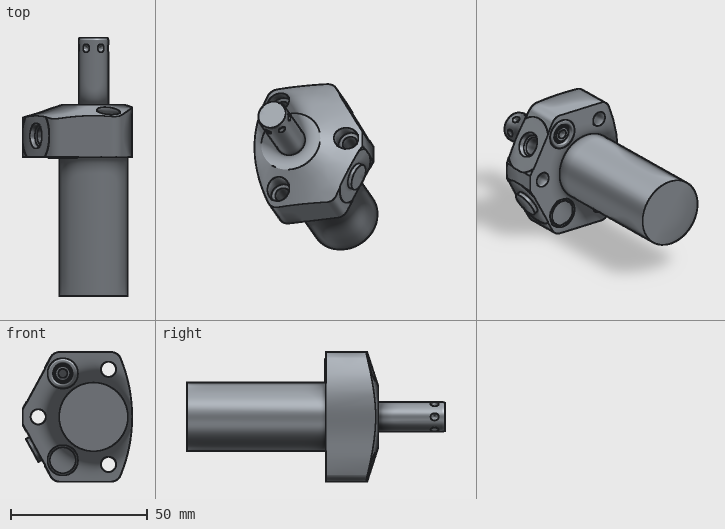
import cadquery as cq
import math

barrel_axis = cq.Vector(0, 1, 0)

barrel_diameter = 25.2
barrel_length = 50.9
rod_diameter = 11.0
rod_length = 24.5
rod_chamfer_length = 0.9
rod_chamfer_width = 0.3
dimple_count = 6
dimple_radius = 1.5
dimple_end_distance = 3.9

overall_length = 94.6
body_depth = overall_length - barrel_length - rod_length
body_height = 47.6
body_half_height = body_height / 2
body_left = -25.9
body_right = 14.2
left_flat_half_height = 3.0
side_angle = 61.5
right_corner_x = 8.9
corner_radius = 4.0
cone_flat_radius = 11.3
cone_angle = 18.0

mount_hole_diameter = 5.5
head_seat_diameter = 8.5
head_seat_y = 11.4
left_hole_x = -20.3
right_hole_x = 5.5
right_hole_z = 17.4
mount_hole_points = [(left_hole_x, 0), (right_hole_x, right_hole_z), (right_hole_x, -right_hole_z)]

port_height = 11.5
port_y = 7.8
spotface_radius = 10.4
spotface_depth = 0.2
spotface_clearance = 0.9
port_mouth_radius = 4.6
thread_start_radius = 4.0
thread_start_depth = 1.7
bore_radius = 3.3
bore_start_depth = 2.3
bore_depth = 11.8
plug_radius = 4.8
plug_height = 1.6

seat_x = -11.3
seat_z = 15.9
seat_radius = 5.6
seat_depth = 1.4
ring_tube_radius = 1.0
ring_radius = 4.6
ring_stand_out = 0.5
insert_radius = 3.1
insert_chamfer = 0.43
insert_hole_diameter = 3.3
insert_hole_depth = 4.7
cap_radius = 4.7


def cylinder(radius, start, end, x=0, z=0):
    """Cylinder parallel to Y between two Y values."""
    return cq.Workplane(cq.Solid.makeCylinder(radius, end - start, cq.Vector(x, start, z), barrel_axis))


def make_body():
    """Symmetrical flange outline with rounded corners and a beveled back."""
    rise = body_half_height - left_flat_half_height
    left_corner_x = body_left + rise / math.tan(math.radians(side_angle))
    outline = (
        cq.Workplane("XZ")
        .moveTo(body_left, -left_flat_half_height)
        .lineTo(body_left, left_flat_half_height)
        .lineTo(left_corner_x, body_half_height)
        .lineTo(right_corner_x, body_half_height)
        .threePointArc((body_right, 0), (right_corner_x, -body_half_height))
        .lineTo(left_corner_x, -body_half_height)
        .close()
    )
    block = outline.extrude(-body_depth)
    block = block.edges("|Y").edges(">Z or <Z").fillet(corner_radius)

    cone_base_radius = cone_flat_radius + body_depth / math.tan(math.radians(cone_angle))
    cone = cq.Solid.makeCone(cone_base_radius, cone_flat_radius, body_depth, cq.Vector(), barrel_axis)
    return block.intersect(cq.Workplane(cone))


def make_rod():
    """Rod with a chamfered end and a circle of conical dimples near it."""
    rod_end = body_depth + rod_length
    rod = cylinder(rod_diameter / 2, 0, rod_end)
    rod = rod.faces(">Y").chamfer(rod_chamfer_length, rod_chamfer_width)
    for index in range(dimple_count):
        angle = 2 * math.pi * index / dimple_count
        outward = cq.Vector(math.cos(angle), 0, math.sin(angle))
        mouth = outward * (rod_diameter / 2) + cq.Vector(0, rod_end - dimple_end_distance, 0)
        rod = rod.cut(cq.Workplane(cq.Solid.makeCone(dimple_radius, 0, dimple_radius, mouth, -outward)))
    return rod


def side_plane(side):
    """Outward-facing spotface plane with its origin on the port axis; side is +1 above, -1 below."""
    slope = math.radians(side_angle)
    center_x = body_left + (port_height - left_flat_half_height) / math.tan(slope)
    center_x += spotface_depth / math.sin(slope)
    normal = (-math.sin(slope), 0, side * math.cos(slope))
    return cq.Plane(origin=(center_x, port_y, side * port_height), xDir=(0, 1, 0), normal=normal)


def port_cutter(side):
    """Stepped round port: tapered mouth, short cone, then a flat-bottomed bore."""
    plane = side_plane(side)
    inward = -plane.zDir
    thread_start = plane.origin + inward * thread_start_depth
    cone_length = bore_start_depth - thread_start_depth
    mouth = cq.Solid.makeCone(port_mouth_radius, thread_start_radius, thread_start_depth, plane.origin, inward)
    cone = cq.Solid.makeCone(thread_start_radius, bore_radius, cone_length, thread_start, inward)
    bore = cq.Solid.makeCylinder(bore_radius, bore_depth, plane.origin, inward)
    return cq.Workplane(mouth).union(cq.Workplane(cone)).union(cq.Workplane(bore))


def spotface_cutter(side):
    """The flat spotface around a port, running a little way out of the body."""
    floor = cq.Workplane(side_plane(side))
    return floor.circle(spotface_radius).extrude(spotface_depth + spotface_clearance)


def make_plug(side):
    """Round plug standing on a spotface."""
    return cq.Workplane(side_plane(side)).circle(plug_radius).extrude(plug_height)


def make_ring():
    """O-ring sunk in the upper seat, standing out of the front face."""
    ring_y = ring_tube_radius - ring_stand_out
    center = cq.Vector(seat_x, ring_y, seat_z)
    return cq.Workplane(cq.Solid.makeTorus(ring_radius, ring_tube_radius, center, barrel_axis))


def make_insert():
    """Chamfered insert in the middle of the ring, flush with the front face."""
    insert = cylinder(insert_radius, 0, seat_depth, seat_x, seat_z)
    return insert.faces("<Y").chamfer(insert_chamfer)


body = make_body()

for side in (1, -1):
    body = body.cut(spotface_cutter(side))
for x, z in mount_hole_points:
    body = body.cut(cylinder(mount_hole_diameter / 2, 0, body_depth, x, z))
    body = body.cut(cylinder(head_seat_diameter / 2, head_seat_y, body_depth, x, z))

body = body.cut(port_cutter(1))
body = body.union(make_plug(-1))

body = body.cut(cylinder(seat_radius, 0, seat_depth, seat_x, seat_z))
body = body.union(make_insert()).union(make_ring())
body = body.cut(cylinder(insert_hole_diameter / 2, 0, insert_hole_depth, seat_x, seat_z))
body = body.cut(cylinder(seat_radius, 0, seat_depth, seat_x, -seat_z))
body = body.union(cylinder(cap_radius, 0, seat_depth, seat_x, -seat_z))

barrel = cylinder(barrel_diameter / 2, -barrel_length, 0)
result = body.union(barrel).union(make_rod())